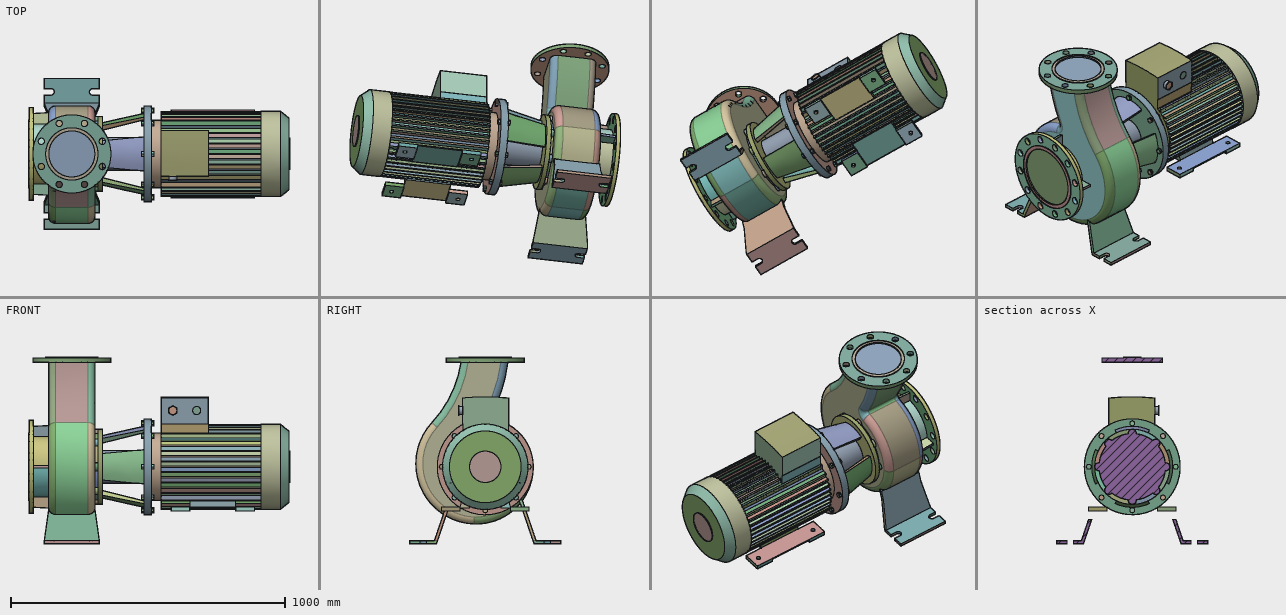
import cadquery as cq
import math


SUCTION_FLANGE_D = 340.0
SUCTION_RAISED_D = 247.0
SUCTION_BORE_D = 219.0
SUCTION_FLANGE_T = 18.0
RAISED_FACE_T = 3.0
RECESS_DEPTH = 6.0
SUCTION_BOLT_RADIUS = 148.0
SUCTION_HOLE_D = 26.0
SUCTION_HOLE_COUNT = 12
SUCTION_RIB_T = 9.0
SUCTION_RIB_R_FRONT = 148.0
SUCTION_RIB_R_BACK = 151.0
SUCTION_RIB_COUNT = 4

VOLUTE_FRONT = 73.0
VOLUTE_W = 170.0
VOLUTE_BACK = VOLUTE_FRONT + VOLUTE_W
VOLUTE_MID = VOLUTE_FRONT + VOLUTE_W / 2
VOLUTE_FILLET = 26.0
TONGUE_FILLET = 10.0
TONGUE_ANGLE = 85.0
TONGUE_R = 176.0
SCROLL_BOTTOM = (-41.0, -209.0)
SCROLL_END = (-195.0, 161.0)
NECK_PLUS_Y = 83.0
NECK_MINUS_Y = -89.0
NECK_INNER_BEND = (60.0, 279.0)

DISCHARGE_FLANGE_D = 285.0
DISCHARGE_RAISED_D = 191.0
DISCHARGE_BORE_D = 168.0
DISCHARGE_TOP = 400.0
DISCHARGE_FLANGE_T = 16.0
DISCHARGE_BOLT_RADIUS = 120.0
DISCHARGE_HOLE_D = 23.0
DISCHARGE_HOLE_COUNT = 8
DISCHARGE_BOTTOM = DISCHARGE_TOP - RAISED_FACE_T - DISCHARGE_FLANGE_T

FOOT_BOTTOM = -280.0
FOOT_T = 11.0
FOOT_L = 201.0
FOOT_SPAN = 550.0
FOOT_OUTER_Y = FOOT_SPAN / 2
FOOT_BEND_Y = 177.0
FOOT_LEAN_ANGLE = 18.8
FOOT_LEAN = math.tan(math.radians(FOOT_LEAN_ANGLE))
FOOT_LEG_TOP_PLUS_Y = -120.0
FOOT_LEG_TOP_MINUS_Y = -156.0
FOOT_SLOT_W = 23.0
FOOT_SLOT_DEPTH = 36.0
FOOT_SLOT_Y = 226.0

COVER_D = 274.0
COVER_T = 17.0
COVER_BACK = 271.0
COVER_FRONT = COVER_BACK - COVER_T
HUB_D = 243.0
BOSS_D = 30.0
BOSS_COUNT = 8
SHAFT_TUBE_D = 120.0
LANTERN_FLANGE_D = 350.0
LANTERN_FLANGE_FRONT = 421.0
LANTERN_FLANGE_T = 28.0
LANTERN_FLANGE_BACK = LANTERN_FLANGE_FRONT + LANTERN_FLANGE_T
ARM_OUTER_R_FRONT = 114.5
ARM_OUTER_R_BACK = 148.0
ARM_INNER_R_FRONT = 95.0
ARM_INNER_R_BACK = 136.0
ARM_SECTOR = 50.0
ARM_COUNT = 4

BOLT_COUNT = 8
BOLT_RADIUS = 158.0
BOLT_D = 10.0
BOLT_HEAD_AF = 17.0
BOLT_HEAD_T = 9.0

MOTOR_NECK_D = 247.0
MOTOR_FRONT = 484.0
FIN_END = 847.0
FIN_D = 310.0
HOUSING_CORE_D = 286.0
FIN_T = 5.0
FIN_PITCH = 19.0
FINS_EACH_WAY = 5
FAN_COVER_D = 312.0
FAN_COVER_CONE_START = 919.0
FAN_COVER_END = 950.0
FAN_COVER_END_D = 261.0
MOTOR_END = 954.0
END_BUTTON_D = 114.5

BOX_L = 173.0
BOX_W = 168.0
BOX_OFFSET_Y = 2.0
BOX_SEAM_Z = 156.0
BOX_EDGE_Z = 251.0
BOX_CROWN_Z = 256.0
PEDESTAL_BOTTOM_Z = 105.0
PEDESTAL_INSET = 1.0
GLAND_D = 30.0
GLAND_Z = 205.0
GLAND_SPACING = 87.0
GLAND_STEM_L = 13.0
GLAND_HEX_AF = 31.0
GLAND_HEX_T = 3.0
BLIND_RECESS_DEPTH = 1.0

MOTOR_FOOT_START = 520.0
MOTOR_FOOT_L = 304.0
MOTOR_FOOT_TOP = -146.0
MOTOR_FOOT_T = 15.0
MOTOR_FOOT_OUTER_Y = 160.0
MOTOR_FOOT_W = 69.0
MOTOR_FOOT_RELIEF = 10.5
MOTOR_FOOT_BLOCK_L = 167.0
MOTOR_FOOT_BLOCK_TOP = -125.0
MOTOR_FOOT_BLOCK_TOP_Y = 86.0
MOTOR_FOOT_BLOCK_INNER_Y = 57.0
MOTOR_FOOT_HOLE_D = 14.0
MOTOR_FOOT_HOLE_END = 29.0
MOTOR_FOOT_HOLE_Y = 128.0


def disc(x_start, x_end, diameter):
    """Cylinder on the pump axis."""
    return cq.Workplane("YZ", origin=(x_start, 0, 0)).circle(diameter / 2).extrude(x_end - x_start)


def block(x_start, x_end, y_start, y_end, z_start, z_end):
    """Box between two opposite corners."""
    size = (x_end - x_start, y_end - y_start, z_end - z_start)
    return cq.Workplane("XY").box(*size, centered=False).translate((x_start, y_start, z_start))


def hexagon(plane, across_flats, length):
    """Hexagonal prism on a workplane."""
    sides = 6
    return plane.polygon(sides, across_flats, circumscribed=True).extrude(length)


def on_circle(workplane, radius, count, start_angle):
    """Points evenly spaced on a bolt circle."""
    return workplane.polarArray(radius, start_angle, 360, count)



def suction_side():
    neck = disc(RAISED_FACE_T, VOLUTE_FRONT, SUCTION_BORE_D)
    flange = disc(RAISED_FACE_T, SUCTION_FLANGE_T, SUCTION_FLANGE_D)
    raised_face = disc(0, RAISED_FACE_T, SUCTION_RAISED_D)
    side = neck.union(flange).union(raised_face)
    rib = (
        cq.Workplane("XZ")
        .polyline([
            (SUCTION_FLANGE_T, 0),
            (SUCTION_FLANGE_T, SUCTION_RIB_R_FRONT),
            (VOLUTE_FRONT, SUCTION_RIB_R_BACK),
            (VOLUTE_FRONT, 0),
        ])
        .close()
        .extrude(SUCTION_RIB_T / 2, both=True)
    )
    for i in range(SUCTION_RIB_COUNT):
        side = side.union(rib.rotate((0, 0, 0), (1, 0, 0), i * 360 / SUCTION_RIB_COUNT))
    return side


def suction_openings():
    recess = disc(0, RECESS_DEPTH, SUCTION_BORE_D)
    half_step = 180 / SUCTION_HOLE_COUNT
    holes = (
        on_circle(cq.Workplane("YZ"), SUCTION_BOLT_RADIUS, SUCTION_HOLE_COUNT, half_step)
        .circle(SUCTION_HOLE_D / 2)
        .extrude(SUCTION_FLANGE_T)
    )
    return recess.union(holes)


def volute():
    """Scroll of tangent arcs that widens from the tongue and leaves upwards through a curved neck."""
    tongue_angle = math.radians(TONGUE_ANGLE)
    tongue_tip = (TONGUE_R * math.cos(tongue_angle), TONGUE_R * math.sin(tongue_angle))
    tongue_side = (TONGUE_R * math.cos(tongue_angle / 2), TONGUE_R * math.sin(tongue_angle / 2))
    return (
        cq.Workplane("YZ", origin=(VOLUTE_FRONT, 0, 0))
        .moveTo(NECK_PLUS_Y, DISCHARGE_BOTTOM)
        .threePointArc(NECK_INNER_BEND, tongue_tip)
        .threePointArc(tongue_side, (TONGUE_R, 0))
        .tangentArcPoint(SCROLL_BOTTOM, relative=False)
        .tangentArcPoint(SCROLL_END, relative=False)
        .tangentArcPoint((NECK_MINUS_Y, DISCHARGE_BOTTOM), relative=False)
        .close()
        .extrude(VOLUTE_W)
        .edges(cq.selectors.NearestToPointSelector((VOLUTE_MID, *tongue_tip)))
        .fillet(TONGUE_FILLET)
        .faces("<X or >X")
        .edges("not(>Z)")
        .fillet(VOLUTE_FILLET)
    )


def discharge_flange():
    flange = (
        cq.Workplane("XY", origin=(VOLUTE_MID, 0, DISCHARGE_BOTTOM))
        .circle(DISCHARGE_FLANGE_D / 2)
        .extrude(DISCHARGE_FLANGE_T)
        .faces(">Z")
        .workplane()
        .circle(DISCHARGE_RAISED_D / 2)
        .extrude(RAISED_FACE_T)
    )
    recess = (
        cq.Workplane("XY", origin=(VOLUTE_MID, 0, DISCHARGE_TOP))
        .circle(DISCHARGE_BORE_D / 2)
        .extrude(-RECESS_DEPTH)
    )
    plane = cq.Workplane("XY", origin=(VOLUTE_MID, 0, DISCHARGE_BOTTOM))
    half_step = 180 / DISCHARGE_HOLE_COUNT
    holes = (
        on_circle(plane, DISCHARGE_BOLT_RADIUS, DISCHARGE_HOLE_COUNT, half_step)
        .circle(DISCHARGE_HOLE_D / 2)
        .extrude(DISCHARGE_FLANGE_T)
    )
    return flange.cut(recess).cut(holes)


def casing_foot(side, leg_top):
    """Bent plate foot; side is +1 or -1 along Y, and the leg runs up to the height leg_top."""
    foot_top = FOOT_BOTTOM + FOOT_T
    leg_w = FOOT_T * math.hypot(1, FOOT_LEAN)
    lean_in = (leg_top - FOOT_BOTTOM) * FOOT_LEAN
    outer_bend = FOOT_BEND_Y + leg_w - FOOT_T * FOOT_LEAN
    profile = [
        (side * FOOT_OUTER_Y, FOOT_BOTTOM),
        (side * FOOT_OUTER_Y, foot_top),
        (side * outer_bend, foot_top),
        (side * (FOOT_BEND_Y + leg_w - lean_in), leg_top),
        (side * (FOOT_BEND_Y - lean_in), leg_top),
        (side * FOOT_BEND_Y, FOOT_BOTTOM),
    ]
    foot = (
        cq.Workplane("YZ", origin=(VOLUTE_MID, 0, 0))
        .polyline(profile)
        .close()
        .extrude(FOOT_L / 2, both=True)
    )
    taper = (
        cq.Workplane("XZ", origin=(VOLUTE_MID, 0, 0))
        .polyline([
            (-FOOT_L / 2, FOOT_BOTTOM),
            (-FOOT_L / 2, foot_top),
            (-VOLUTE_W / 2, FOOT_LEG_TOP_MINUS_Y),
            (-VOLUTE_W / 2, FOOT_LEG_TOP_PLUS_Y),
            (VOLUTE_W / 2, FOOT_LEG_TOP_PLUS_Y),
            (VOLUTE_W / 2, FOOT_LEG_TOP_MINUS_Y),
            (FOOT_L / 2, foot_top),
            (FOOT_L / 2, FOOT_BOTTOM),
        ])
        .close()
        .extrude(FOOT_OUTER_Y, both=True)
    )
    slot_length = 2 * FOOT_SLOT_DEPTH
    slots = (
        cq.Workplane("XY", origin=(VOLUTE_MID, side * FOOT_SLOT_Y, FOOT_BOTTOM))
        .pushPoints([(-FOOT_L / 2, 0), (FOOT_L / 2, 0)])
        .slot2D(slot_length, FOOT_SLOT_W)
        .extrude(FOOT_T)
    )
    return foot.intersect(taper).cut(slots)


def back_cover():
    hub = disc(VOLUTE_BACK, COVER_FRONT, HUB_D)
    boss_radius = (COVER_D - BOSS_D) / 2
    bosses = (
        on_circle(cq.Workplane("YZ", origin=(VOLUTE_BACK, 0, 0)), boss_radius, BOSS_COUNT, 0)
        .circle(BOSS_D / 2)
        .extrude(COVER_FRONT - VOLUTE_BACK)
    )
    return hub.union(bosses).union(disc(COVER_FRONT, COVER_BACK, COVER_D))


def lantern():
    """Shaft tube, four conical arms and the flange that carries the motor."""
    arm_profile = [
        (COVER_BACK, ARM_INNER_R_FRONT),
        (COVER_BACK, ARM_OUTER_R_FRONT),
        (LANTERN_FLANGE_FRONT, ARM_OUTER_R_BACK),
        (LANTERN_FLANGE_FRONT, ARM_INNER_R_BACK),
    ]
    arm = (
        cq.Workplane("XY")
        .polyline(arm_profile)
        .close()
        .revolve(ARM_SECTOR, (0, 0, 0), (1, 0, 0))
        .rotate((0, 0, 0), (1, 0, 0), -ARM_SECTOR / 2)
    )
    body = disc(COVER_BACK, LANTERN_FLANGE_FRONT, SHAFT_TUBE_D)
    body = body.union(disc(LANTERN_FLANGE_FRONT, LANTERN_FLANGE_BACK, LANTERN_FLANGE_D))
    for i in range(ARM_COUNT):
        body = body.union(arm.rotate((0, 0, 0), (1, 0, 0), i * 360 / ARM_COUNT))
    holes = (
        on_circle(cq.Workplane("YZ", origin=(LANTERN_FLANGE_FRONT, 0, 0)), BOLT_RADIUS, BOLT_COUNT, 0)
        .circle(BOLT_D / 2)
        .extrude(LANTERN_FLANGE_T)
    )
    return body.cut(holes)


def make_pump():
    return (
        volute()
        .union(suction_side())
        .cut(suction_openings())
        .union(discharge_flange())
        .union(casing_foot(1, FOOT_LEG_TOP_PLUS_Y))
        .union(casing_foot(-1, FOOT_LEG_TOP_MINUS_Y))
        .union(back_cover())
        .union(lantern())
    )



def finned_housing():
    """Round core with straight fins, upright above and below and level at the sides."""
    housing = disc(MOTOR_FRONT, FIN_END, HOUSING_CORE_D)
    fin_envelope = disc(MOTOR_FRONT, FIN_END, FIN_D)
    reach = FIN_D / 2
    for i in range(-FINS_EACH_WAY, FINS_EACH_WAY + 1):
        low = i * FIN_PITCH - FIN_T / 2
        high = low + FIN_T
        level_fins = block(MOTOR_FRONT, FIN_END, -reach, reach, low, high)
        upright_fins = block(MOTOR_FRONT, FIN_END, low, high, -reach, reach)
        housing = housing.union(fin_envelope.intersect(level_fins))
        housing = housing.union(fin_envelope.intersect(upright_fins))
    return housing


def fan_cover():
    cover = (
        cq.Workplane("XY")
        .polyline([
            (FIN_END, 0),
            (FIN_END, FAN_COVER_D / 2),
            (FAN_COVER_CONE_START, FAN_COVER_D / 2),
            (FAN_COVER_END, FAN_COVER_END_D / 2),
            (FAN_COVER_END, 0),
        ])
        .close()
        .revolve(360, (0, 0, 0), (1, 0, 0))
    )
    return cover.union(disc(FAN_COVER_END, MOTOR_END, END_BUTTON_D))


def terminal_box():
    half_w = BOX_W / 2
    box_end = MOTOR_FRONT + BOX_L
    pedestal_half_w = half_w - PEDESTAL_INSET
    pedestal = block(MOTOR_FRONT, box_end, -pedestal_half_w, pedestal_half_w, PEDESTAL_BOTTOM_Z, BOX_SEAM_Z)
    lid = (
        cq.Workplane("YZ", origin=(MOTOR_FRONT, 0, 0))
        .moveTo(-half_w, BOX_SEAM_Z)
        .lineTo(-half_w, BOX_EDGE_Z)
        .threePointArc((0, BOX_CROWN_Z), (half_w, BOX_EDGE_Z))
        .lineTo(half_w, BOX_SEAM_Z)
        .close()
        .extrude(BOX_L)
    )
    middle = MOTOR_FRONT + BOX_L / 2
    gland_plane = cq.Workplane("XZ", origin=(middle - GLAND_SPACING / 2, -half_w, GLAND_Z))
    stem = gland_plane.circle(GLAND_D / 2).extrude(GLAND_STEM_L)
    gland_hex = hexagon(gland_plane.workplane(offset=GLAND_STEM_L), GLAND_HEX_AF, GLAND_HEX_T)
    blind_recess = (
        cq.Workplane("XZ", origin=(middle + GLAND_SPACING / 2, -half_w, GLAND_Z))
        .circle(GLAND_D / 2)
        .extrude(-BLIND_RECESS_DEPTH)
    )
    box = pedestal.union(lid).union(stem).union(gland_hex).cut(blind_recess)
    return box.translate((0, BOX_OFFSET_Y, 0))


def motor_foot():
    """Foot on the -Y side, with a pad at each end and a block that joins it to the housing."""
    foot_end = MOTOR_FOOT_START + MOTOR_FOOT_L
    middle = MOTOR_FOOT_START + MOTOR_FOOT_L / 2
    inner_y = MOTOR_FOOT_OUTER_Y - MOTOR_FOOT_W
    foot_bottom = MOTOR_FOOT_TOP - MOTOR_FOOT_T
    half_block = MOTOR_FOOT_BLOCK_L / 2
    plate = block(MOTOR_FOOT_START, foot_end, -MOTOR_FOOT_OUTER_Y, -inner_y, foot_bottom, MOTOR_FOOT_TOP)
    relief = block(middle - half_block, middle + half_block, -MOTOR_FOOT_OUTER_Y, -inner_y,
                   foot_bottom, foot_bottom + MOTOR_FOOT_RELIEF)
    joining_block = (
        cq.Workplane("YZ", origin=(middle, 0, 0))
        .polyline([
            (-inner_y, foot_bottom + MOTOR_FOOT_RELIEF),
            (-inner_y, MOTOR_FOOT_TOP),
            (-MOTOR_FOOT_BLOCK_TOP_Y, MOTOR_FOOT_BLOCK_TOP),
            (-MOTOR_FOOT_BLOCK_INNER_Y, MOTOR_FOOT_BLOCK_TOP),
            (-MOTOR_FOOT_BLOCK_INNER_Y, foot_bottom + MOTOR_FOOT_RELIEF),
        ])
        .close()
        .extrude(half_block, both=True)
    )
    holes = (
        cq.Workplane("XY", origin=(0, -MOTOR_FOOT_HOLE_Y, foot_bottom))
        .pushPoints([(MOTOR_FOOT_START + MOTOR_FOOT_HOLE_END, 0), (foot_end - MOTOR_FOOT_HOLE_END, 0)])
        .circle(MOTOR_FOOT_HOLE_D / 2)
        .extrude(MOTOR_FOOT_T)
    )
    return plate.cut(relief).cut(holes).union(joining_block)


def make_motor():
    foot = motor_foot()
    return (
        finned_housing()
        .union(disc(LANTERN_FLANGE_BACK, MOTOR_FRONT, MOTOR_NECK_D))
        .union(fan_cover())
        .union(terminal_box())
        .union(foot)
        .union(foot.mirror("XZ"))
    )



def make_bolt(angle):
    """Shank through the lantern flange with a hexagon on each side."""
    head_plane = cq.Workplane("YZ", origin=(LANTERN_FLANGE_FRONT - BOLT_HEAD_T, 0, BOLT_RADIUS))
    nut_plane = cq.Workplane("YZ", origin=(LANTERN_FLANGE_BACK, 0, BOLT_RADIUS))
    shank = (
        cq.Workplane("YZ", origin=(LANTERN_FLANGE_FRONT, 0, BOLT_RADIUS))
        .circle(BOLT_D / 2)
        .extrude(LANTERN_FLANGE_T)
    )
    bolt = (
        shank
        .union(hexagon(head_plane, BOLT_HEAD_AF, BOLT_HEAD_T))
        .union(hexagon(nut_plane, BOLT_HEAD_AF, BOLT_HEAD_T))
    )
    return bolt.rotate((0, 0, 0), (1, 0, 0), angle)


pump = make_pump()
motor = make_motor()
bolts = [make_bolt(i * 360 / BOLT_COUNT) for i in range(BOLT_COUNT)]

result = cq.Compound.makeCompound([pump.val(), motor.val(), *[bolt.val() for bolt in bolts]])